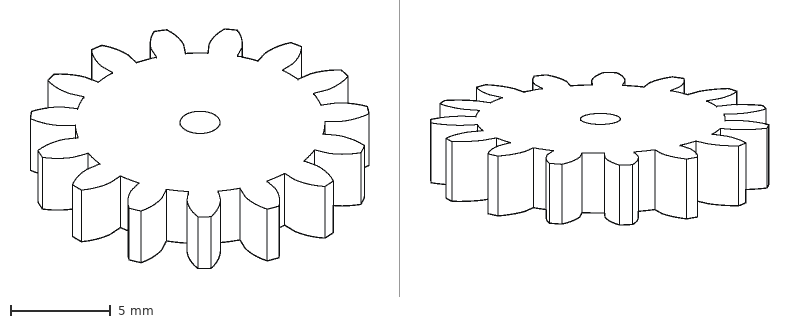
import cadquery as cq
import math

MODULE = 1.0
TOOTH_COUNT = 15
PRESSURE_ANGLE = 20.0
GEAR_THICKNESS = 3.12
BORE_DIAMETER = 2.0
DEDENDUM_FACTOR = 1.25

PITCH_RADIUS = MODULE * TOOTH_COUNT / 2
BASE_RADIUS = PITCH_RADIUS * math.cos(math.radians(PRESSURE_ANGLE))
TIP_RADIUS = PITCH_RADIUS + MODULE
ROOT_RADIUS = PITCH_RADIUS - DEDENDUM_FACTOR * MODULE
TOOTH_PITCH_ANGLE = 2 * math.pi / TOOTH_COUNT


def involute_angle(radius):
    """Polar angle swept by the involute from the base circle out to radius."""
    pressure = math.acos(BASE_RADIUS / radius)
    return math.tan(pressure) - pressure


BASE_HALF_ANGLE = TOOTH_PITCH_ANGLE / 4 + involute_angle(PITCH_RADIUS)


def half_angle(radius):
    """Half the angle a tooth spans at radius; below the base circle the flanks are radial."""
    if radius <= BASE_RADIUS:
        return BASE_HALF_ANGLE
    return BASE_HALF_ANGLE - involute_angle(radius)


def polar(radius, angle):
    return (radius * math.cos(angle), radius * math.sin(angle))


def flank_points(centre_angle, side):
    """Base, middle and tip points of one tooth flank; side is -1 or +1."""
    radii = (BASE_RADIUS, (BASE_RADIUS + TIP_RADIUS) / 2, TIP_RADIUS)
    return [polar(r, centre_angle + side * half_angle(r)) for r in radii]


def add_tooth(outline, centre_angle):
    """Draw one tooth counter-clockwise, then the root arc up to the next tooth."""
    base_start, middle_start, tip_start = flank_points(centre_angle, -1)
    base_end, middle_end, tip_end = flank_points(centre_angle, 1)
    root_half_angle = half_angle(ROOT_RADIUS)
    return (
        outline.lineTo(*base_start)
        .threePointArc(middle_start, tip_start)
        .threePointArc(polar(TIP_RADIUS, centre_angle), tip_end)
        .threePointArc(middle_end, base_end)
        .lineTo(*polar(ROOT_RADIUS, centre_angle + root_half_angle))
        .threePointArc(
            polar(ROOT_RADIUS, centre_angle + TOOTH_PITCH_ANGLE / 2),
            polar(ROOT_RADIUS, centre_angle + TOOTH_PITCH_ANGLE - root_half_angle),
        )
    )


def gear_blank():
    """Toothed disc, with the first tooth centred on +X."""
    outline = cq.Workplane("XY").moveTo(*polar(ROOT_RADIUS, -half_angle(ROOT_RADIUS)))
    for tooth in range(TOOTH_COUNT):
        outline = add_tooth(outline, tooth * TOOTH_PITCH_ANGLE)
    return outline.close().extrude(GEAR_THICKNESS)


def bore():
    """Round through hole on the gear axis."""
    return cq.Workplane("XY").circle(BORE_DIAMETER / 2).extrude(GEAR_THICKNESS)


result = gear_blank().cut(bore())